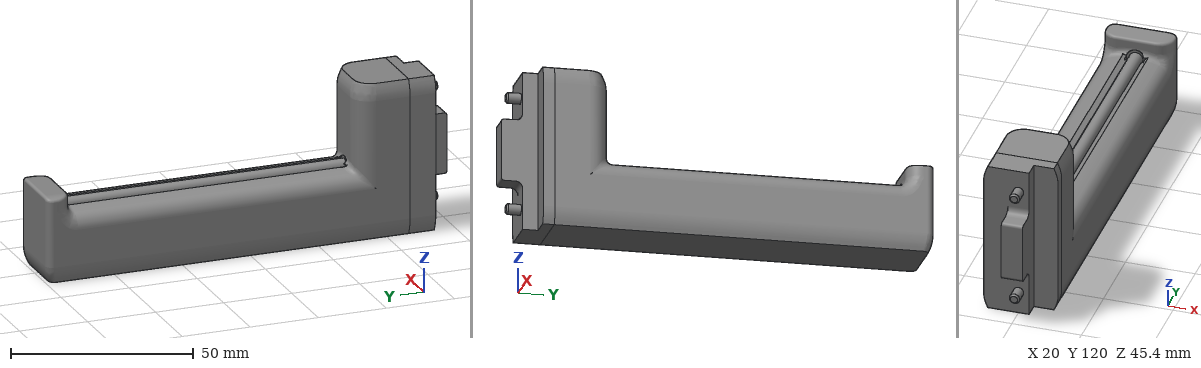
import cadquery as cq
import math

width = 20.0
length = 120.0
height = 45.4
mid_height = height / 2

tongue_reach = 6.0
cap_thickness = 7.5
column_back = 29.0
lip_thickness = 7.2
cap_front = tongue_reach
cap_back = cap_front + cap_thickness
lip_front = length - lip_thickness

edge_rise = 2.9
edge_inset = 1.2
edge_radius = 9.6

crown_height = 20.4
crown_radius = 20.4
crown_center = crown_height - crown_radius
lip_height = 25.0
lip_shoulder_radius = 10.1
lip_flat_half_width = 6.7
inner_corner_radius = 1.8
inner_edge_radius = 4.5
column_edge_radius = 5.5
tail_edge_radius = 1.9
lip_rim_radius = 0.8

rod_diameter = 4.0
rod_clearance_diameter = 5.5
rod_center_height = 19.1
groove_half_width = 3.6
groove_chamfer_depth = 1.0

notch_depth = 4.3
tongue_width = 6.1
tongue_height = 17.8
tongue_root_radius = 2.0
tongue_tip_radius = 0.8

pin_diameter = 3.0
pin_chamfer = 0.5
pin_reach = 4.1
pin_spacing = 32.2
pin_heights = [mid_height + sign * pin_spacing / 2 for sign in (-1, 1)]


def near(x, y, z):
    """Selector for the edge whose centre lies closest to a point."""
    return cq.selectors.NearestToPointSelector((x, y, z))


def along_y(sketch_points, start, end):
    """Extrude a closed XZ polygon from Y = start to Y = end."""
    return cq.Workplane("XZ", origin=(0, start, 0)).polyline(sketch_points).close().extrude(start - end)


def softened_block(start, end):
    """Full-height block with softened long edges."""
    side = width / 2
    flat = side - edge_inset
    outline = [
        (-flat, 0),
        (flat, 0),
        (side, edge_rise),
        (side, height - edge_rise),
        (flat, height),
        (-flat, height),
        (-side, height - edge_rise),
        (-side, edge_rise),
    ]
    block = along_y(outline, start, end)
    middle = (start + end) / 2
    for x in (-side, side):
        for z in (edge_rise, height - edge_rise):
            block = block.edges(near(x, middle, z)).fillet(edge_radius)
    return block


def crown_surface(x):
    """Height of the arched beam top at a distance x from its middle."""
    return crown_center + math.sqrt(crown_radius**2 - x**2)


def side_profile():
    """Side shape of the handle: column, beam space up to the lip height, and softened tail."""
    outline = [
        (cap_back, 0),
        (length - edge_inset, 0),
        (length, edge_rise),
        (length, lip_height),
        (lip_front, lip_height),
        (lip_front, crown_center),
        (column_back, crown_center),
        (column_back, height - edge_rise),
        (column_back - edge_inset, height),
        (cap_back, height),
    ]
    profile = cq.Workplane("YZ", origin=(-width / 2, 0, 0)).polyline(outline).close().extrude(width)
    for y, z in [(length, edge_rise), (column_back, height - edge_rise)]:
        profile = profile.edges(near(0, y, z)).fillet(edge_radius)
    return profile


def crowned_beam():
    """Beam between column and lip with an arched top."""
    return (
        cq.Workplane("XZ", origin=(0, column_back, 0))
        .center(0, crown_center)
        .circle(crown_radius)
        .extrude(column_back - lip_front)
    )


def lip_shoulder_cut(sign):
    """Material above the rounded shoulder at one end of the lip top."""
    edge = width / 2
    run = edge - lip_flat_half_width
    drop = lip_shoulder_radius - math.sqrt(lip_shoulder_radius**2 - run**2)
    half_run = run / 2
    half_drop = lip_shoulder_radius - math.sqrt(lip_shoulder_radius**2 - half_run**2)
    return (
        cq.Workplane("XZ", origin=(0, lip_front, 0))
        .moveTo(sign * lip_flat_half_width, lip_height)
        .threePointArc(
            (sign * (lip_flat_half_width + half_run), lip_height - half_drop),
            (sign * edge, lip_height - drop),
        )
        .lineTo(sign * edge, lip_height)
        .close()
        .extrude(-lip_thickness)
    )


def rod_groove():
    """Round-bottomed channel for the rod, open upwards, with two sloped shoulders and wider ends."""
    radius = rod_diameter / 2
    shoulder_top = crown_surface(groove_half_width)
    shoulder_bottom = shoulder_top - groove_chamfer_depth
    outline = [
        (-radius, rod_center_height),
        (radius, rod_center_height),
        (radius, shoulder_bottom),
        (groove_half_width, shoulder_top),
        (groove_half_width, crown_height),
        (-groove_half_width, crown_height),
        (-groove_half_width, shoulder_top),
        (-radius, shoulder_bottom),
    ]
    groove = along_y(outline, column_back, lip_front).union(make_rod())
    for start in (column_back, lip_front - inner_corner_radius):
        groove = groove.union(rod_bar(rod_clearance_diameter, start, start + inner_corner_radius))
    return groove


def make_handle():
    """L-shaped grip: column, arched beam with the rod groove, and an upturned lip at the tail."""
    handle = softened_block(cap_back, length).intersect(side_profile().union(crowned_beam()))
    side = width / 2
    mid_beam = (column_back + lip_front) / 2
    beam_edge_height = crown_surface(side)

    handle = handle.edges(near(0, lip_front, crown_height)).fillet(inner_corner_radius)
    column_middle = (crown_height + height) / 2
    for x in (-side, side):
        handle = handle.edges(near(x, column_back, column_middle)).fillet(column_edge_radius)
    for x in (-side, side):
        handle = handle.edges(near(x, mid_beam, beam_edge_height)).fillet(inner_edge_radius)
    handle = handle.edges(near(0, column_back, crown_height)).fillet(inner_corner_radius)

    tail_middle = lip_height / 2
    for x in (-side, side):
        handle = handle.edges(near(x, length, tail_middle)).fillet(tail_edge_radius)

    for sign in (-1, 1):
        handle = handle.cut(lip_shoulder_cut(sign))
    handle = handle.edges(near(0, length, lip_height)).fillet(lip_rim_radius)
    return handle.cut(rod_groove())


def make_tongue():
    """Plate in front of the cap with rounded tip edges and flared roots."""
    half = tongue_height / 2
    root = half + tongue_root_radius
    flare_start = cap_front - tongue_root_radius
    tip = half - tongue_tip_radius
    diagonal = math.sqrt(0.5)
    flare_y = flare_start + tongue_root_radius * diagonal
    flare_z = root - tongue_root_radius * diagonal
    tip_y = tongue_tip_radius * (1 - diagonal)
    tip_z = tip + tongue_tip_radius * diagonal
    return (
        cq.Workplane("YZ", origin=(-tongue_width / 2, 0, mid_height))
        .moveTo(cap_front, root)
        .threePointArc((flare_y, flare_z), (flare_start, half))
        .lineTo(tongue_tip_radius, half)
        .threePointArc((tip_y, tip_z), (0, tip))
        .lineTo(0, -tip)
        .threePointArc((tip_y, -tip_z), (tongue_tip_radius, -half))
        .lineTo(flare_start, -half)
        .threePointArc((flare_y, -flare_z), (cap_front, -root))
        .close()
        .extrude(tongue_width)
    )


def pin_bar(pin_height, front):
    """Plain cylinder of the pin diameter from Y = front to the back of the cap."""
    return (
        cq.Workplane("XZ", origin=(0, cap_back, pin_height))
        .circle(pin_diameter / 2)
        .extrude(cap_back - front)
    )


def make_cap():
    """End cap with a stepped front, a tongue and through holes for the pins."""
    notch = (
        cq.Workplane()
        .box(width, notch_depth, height, centered=False)
        .translate((tongue_width / 2, cap_front, 0))
    )
    cap = softened_block(cap_front, cap_back).cut(notch).union(make_tongue())
    for pin_height in pin_heights:
        cap = cap.cut(pin_bar(pin_height, cap_front))
    return cap


def make_pin(pin_height):
    """Pin through the cap with a chamfered front end."""
    return pin_bar(pin_height, cap_front - pin_reach).faces("<Y").chamfer(pin_chamfer)


def rod_bar(diameter, start, end):
    """Cylinder on the rod axis from Y = start to Y = end."""
    return (
        cq.Workplane("XZ", origin=(0, start, rod_center_height))
        .circle(diameter / 2)
        .extrude(start - end)
    )


def make_rod():
    """Rod lying in the groove between column and lip."""
    return rod_bar(rod_diameter, column_back, lip_front)


handle = make_handle()
cap = make_cap()
rod = make_rod()
pins = [make_pin(pin_height) for pin_height in pin_heights]

result = cq.Compound.makeCompound([handle.val(), cap.val(), rod.val(), *[pin.val() for pin in pins]])